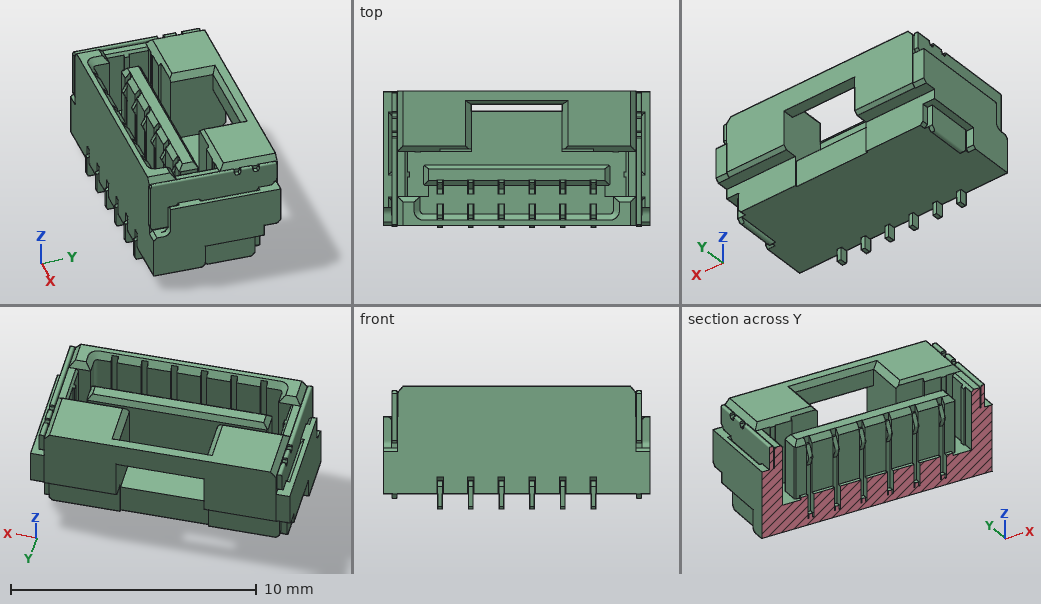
import cadquery as cq
import math


housing_length = 10.85
shroud_length = 9.7
shroud_depth = 5.48
shroud_height = 4.38
ear_depth = 5.45
ear_height = 3.15
foot_depth = 4.74
foot_height = 1.49
heel_chamfer = 0.16
rim_bevel = 0.23
rim_bevel_height = 0.26
opening_bevel = 0.25
recess_floor = shroud_height - rim_bevel_height

notch_depth = 0.73
notch_radius = 0.29
notch_floor = 1.87
notch_slope = 0.14

cavity_length = 8.88
cavity_floor = 1.3
cavity_front = 1.18
cavity_back = 3.02
front_pocket_length = 7.85
front_step_height = 0.11
front_pocket_floor = cavity_floor + front_step_height
front_wall = 0.47
front_pocket_radius = 0.14
front_step_length = 7.16
side_bevel = 0.11
block_relief_length = 6.23
block_relief = 0.1
block_ledge = 2.17

latch_length = 3.69
latch_back = 4.93
latch_back_bevel = 0.16
latch_bar_bottom = 3.36
latch_floor_back = 4.65

side_rib_width = 0.22
side_rib_y = 2.07
side_rib_height = 0.08
back_rib_width = 0.24
back_rib_x = 4.03
back_rib_height = 0.02

tongue_length = 7.57
tongue_front = 1.63
tongue_back = 2.46
tongue_top = 3.96
tongue_bevel = 0.21
tongue_back_bevel = 0.16
tongue_bevel_height = 0.24
tongue_corner = 0.05

contact_count = 6
contact_pitch = 1.25
contact_width = 0.2
contact_slot_width = 0.26
contact_front = -0.08
contact_thickness = 0.39
contact_bottom = -0.62
contact_toe = 0.05
contact_toe_height = 0.1
contact_shoulder_depth = 0.51
contact_shoulder_height = 0.23
contact_bar_bottom = 0.22
contact_bar_top = 0.52
contact_window_height = 0.69
contact_window_inner_height = 0.55
groove_front = 0.28
groove_back = 0.88
groove_bottom = 0.33
tongue_slot_front = 1.29
tongue_slot_back = 1.84
beam_face = 1.67
beam_tip_top = 3.65
beam_tip_front = 1.75
beam_bulge_front = 1.48
beam_bulge_height = 3.15
beam_neck_height = 2.71

blade_thickness = 0.21
blade_gap = 0.02
blade_inner = shroud_length / 2 + blade_gap
blade_outer = blade_inner + blade_thickness
blade_front = -0.03
blade_back = 5.38
blade_top = 4.21
blade_bottom = 3.18
blade_arm_bottom = 2.06
blade_corner = 0.22
blade_edge_radius = 0.07
blade_tip_bevel = 0.07
blade_tip_height = 0.12
blade_notch_places = (3.71, 4.5)
blade_notch_width = 0.28
blade_notch_base = 0.16
blade_notch_floor = 3.99
blade_notch_shoulder = 4.11

tab_front = 2.26
tab_back = 4.46
tab_bottom = -0.2
tab_chamfer = 0.18
window_front = 2.21
window_height = 1.01
window_bevel = 0.13
window_clearance = 0.03
rear_pocket_depth = 0.26
rear_pocket_bevel = 0.14

ear_slot_back = 1.15

lead_in = 0.14
lead_in_front = 2.06
lead_in_back = 4.61
lead_in_spans = ((notch_depth - lead_in, ear_slot_back), (lead_in_front, lead_in_back))


def box(x0, x1, y0, y1, z0, z1):
    return cq.Workplane("XY").box(x1 - x0, y1 - y0, z1 - z0, centered=False).translate((x0, y0, z0))


def centred_box(length, y0, y1, z0, z1):
    return box(-length / 2, length / 2, y0, y1, z0, z1)


def side_slab(outline, x0, x1):
    """Extrude a (Y, Z) outline from x0 to x1."""
    return cq.Workplane("YZ").polyline(outline).close().extrude(x1 - x0).translate((x0, 0, 0))


def length_slab(outline, y0, y1):
    """Extrude an (X, Z) outline from y0 to y1."""
    return cq.Workplane("XZ").polyline(outline).close().extrude(y0 - y1).translate((0, y0, 0))


def tapered_block(half_x0, half_x1, y0, y1, z0, z1, front_slope, back_slope):
    """Block symmetric about X = 0 whose sides lean as it rises; slopes are outward growth."""
    return (
        cq.Workplane("XY").workplane(offset=z0)
        .polyline([(-half_x0, y0), (half_x0, y0), (half_x0, y1), (-half_x0, y1)]).close()
        .workplane(offset=z1 - z0)
        .polyline([(-half_x1, y0 - front_slope), (half_x1, y0 - front_slope),
                   (half_x1, y1 + back_slope), (-half_x1, y1 + back_slope)]).close()
        .loft(ruled=True)
    )


def both_sides(shape):
    """The shape together with its mirror image about X = 0."""
    return shape.union(shape.mirror("YZ"))


def housing_outline(depth, top):
    return [
        (0, 0), (foot_depth, 0), (foot_depth, foot_height), (depth - heel_chamfer, foot_height),
        (depth, foot_height + heel_chamfer), (depth, top), (0, top),
    ]


def make_shell():
    """Solid shroud with bevelled long edges, joined to the lower ears at both ends."""
    half = shroud_length / 2
    section = [
        (-half, 0), (half, 0), (half, recess_floor), (half - rim_bevel, shroud_height),
        (rim_bevel - half, shroud_height), (-half, recess_floor),
    ]
    shroud = side_slab(housing_outline(shroud_depth, shroud_height), -half, half)
    shroud = shroud.intersect(length_slab(section, 0, shroud_depth))
    ears = side_slab(housing_outline(ear_depth, ear_height), -housing_length / 2, housing_length / 2)
    ears = ears.cut(both_sides(make_ear_notch()))
    return shroud.union(ears)


def make_ear_notch():
    """Notch in the front top corner of the +X ear, with a rounded back and a sloping front."""
    front_floor = notch_floor - notch_slope
    arc_mid = notch_radius * math.sqrt(0.5)
    arc_y = notch_depth - notch_radius
    arc_z = notch_floor + notch_radius
    return (
        cq.Workplane("YZ")
        .moveTo(0, front_floor).lineTo(notch_slope, notch_floor).lineTo(arc_y, notch_floor)
        .threePointArc((arc_y + arc_mid, arc_z - arc_mid), (notch_depth, arc_z))
        .lineTo(notch_depth, ear_height).lineTo(0, ear_height).close()
        .extrude((housing_length - shroud_length) / 2)
        .translate((shroud_length / 2, 0, 0))
    )


def make_ear_slot():
    """Slot in the +X ear that runs back from the front notch."""
    return box(shroud_length / 2, blade_outer + blade_gap, notch_depth - notch_radius, ear_slot_back,
               notch_floor, ear_height)


def make_rim_recess():
    """Lowered stretch of the side walls, with sloping ends."""
    half = shroud_length / 2
    return side_slab(
        [(cavity_front, recess_floor), (cavity_back, recess_floor),
         (cavity_back + rim_bevel, shroud_height), (cavity_front - rim_bevel, shroud_height)],
        -half, half,
    )


def make_cavity():
    """Main cavity with bevelled side walls and a shallow relief in the latch blocks."""
    main = centred_box(cavity_length, cavity_front, cavity_back, cavity_floor, recess_floor)
    bevel = tapered_block(cavity_length / 2, cavity_length / 2 + side_bevel, cavity_front, cavity_back,
                          recess_floor - side_bevel, recess_floor, 0, 0)
    relief = centred_box(block_relief_length, cavity_back, cavity_back + block_relief,
                         block_ledge, shroud_height)
    return main.union(bevel).union(relief)


def make_front_pocket():
    """Rounded pocket along the front wall, with a sloping rim."""
    pocket = (
        centred_box(front_pocket_length, front_wall, cavity_front, front_pocket_floor, shroud_height)
        .edges("|Z and <Y").fillet(front_pocket_radius)
    )
    rim_angle = math.degrees(math.atan2(opening_bevel, rim_bevel_height))
    rim = (
        pocket.faces(">Z").wires().toPending()
        .extrude(rim_bevel_height, taper=-rim_angle, combine=False)
        .translate((0, 0, -rim_bevel_height))
    )
    return pocket.union(rim)


def make_front_step():
    """Raised floor between the front pocket and the tongue."""
    return centred_box(front_step_length, cavity_front, tongue_front, cavity_floor, front_pocket_floor)


def make_latch_opening():
    """Opening between the latch blocks, passing under the bar along the back."""
    opening = centred_box(latch_length, cavity_back, latch_back, cavity_floor, shroud_height)
    half = latch_length / 2
    bevel = tapered_block(half, half + opening_bevel, cavity_back, latch_back, recess_floor, shroud_height,
                          0, latch_back_bevel)
    back_window = centred_box(latch_length, latch_floor_back, shroud_depth, 0, latch_bar_bottom)
    under_bar = centred_box(latch_length, latch_floor_back, latch_back, 0, shroud_height)
    return opening.union(bevel).union(back_window).union(under_bar)


def make_side_rib():
    """Rib on a side wall whose top follows the bevel of that wall."""
    wall = cavity_length / 2
    y0 = side_rib_y - side_rib_width / 2
    outline = [
        (wall + side_bevel, cavity_floor), (wall - side_rib_height, cavity_floor),
        (wall - side_rib_height, recess_floor - side_bevel - side_rib_height),
        (wall + side_bevel, recess_floor),
    ]
    return length_slab(outline, y0, y0 + side_rib_width)


def make_back_rib():
    """Rib on the front of a latch block, ending under the sloping rim."""
    outline = [
        (cavity_back + rim_bevel, cavity_floor), (cavity_back - back_rib_height, cavity_floor),
        (cavity_back - back_rib_height, recess_floor - back_rib_height), (cavity_back, recess_floor),
        (cavity_back + rim_bevel, recess_floor),
    ]
    return side_slab(outline, back_rib_x - back_rib_width / 2, back_rib_x + back_rib_width / 2)


def make_tongue():
    """Tongue standing in the cavity, bevelled around its tip."""
    body = centred_box(tongue_length, tongue_front, tongue_back, cavity_floor,
                       tongue_top - tongue_bevel_height)
    half = tongue_length / 2
    tip = tapered_block(half, half - tongue_bevel, tongue_front, tongue_back,
                        tongue_top - tongue_bevel_height, tongue_top, -tongue_bevel, -tongue_back_bevel)
    envelope = centred_box(tongue_length, tongue_front, tongue_back, cavity_floor, tongue_top)
    return body.union(tip).intersect(envelope.edges("|Z").chamfer(tongue_corner))


def make_contact_slots():
    """Leg window, front groove and tongue slot for one contact at X = 0."""
    half = contact_slot_width / 2
    window = side_slab([(0, 0), (groove_front, 0), (groove_front, contact_window_inner_height),
                        (0, contact_window_height)], -half, half)
    groove = centred_box(contact_slot_width, groove_front, groove_back, groove_bottom, shroud_height)
    slot = centred_box(contact_slot_width, tongue_slot_front, tongue_slot_back, groove_bottom, tongue_top)
    return window.union(groove).union(slot)


def make_contact():
    """Leg, bar under the floor and spring beam of one contact at X = 0."""
    leg_back = contact_front + contact_thickness
    leg_and_bar = [
        (leg_back, contact_bottom), (contact_front + contact_toe, contact_bottom),
        (contact_front, contact_bottom + contact_toe_height),
        (contact_front, contact_bar_top - contact_shoulder_height),
        (contact_front + contact_shoulder_depth, contact_bar_top),
        (tongue_slot_back, contact_bar_top), (tongue_slot_back, contact_bar_bottom),
        (leg_back, contact_bar_bottom),
    ]
    beam = [
        (tongue_slot_back, contact_bar_bottom), (tongue_slot_back, beam_tip_top),
        (beam_tip_front, beam_tip_top), (beam_bulge_front, beam_bulge_height),
        (beam_face, beam_neck_height), (beam_face, contact_bar_bottom),
    ]
    half = contact_width / 2
    return side_slab(leg_and_bar, -half, half).union(side_slab(beam, -half, half))


def make_blade():
    """Retention blade on the +X side, with its solder tab."""
    arm = [
        (blade_front, blade_arm_bottom + blade_tip_height),
        (blade_front + blade_tip_bevel, blade_arm_bottom),
        (ear_slot_back, blade_arm_bottom), (ear_slot_back, blade_bottom),
        (blade_back - blade_corner, blade_bottom),
        (blade_back, blade_bottom + blade_corner), (blade_back, blade_top),
        (blade_front + blade_tip_bevel, blade_top), (blade_front, blade_top - blade_tip_height),
    ]
    blade = side_slab(arm, blade_inner, blade_outer)
    for place in blade_notch_places:
        half_top = blade_notch_width / 2
        half_base = blade_notch_base / 2
        notch = [
            (place - half_top, blade_top), (place - half_top, blade_notch_shoulder),
            (place - half_base, blade_notch_floor), (place + half_base, blade_notch_floor),
            (place + half_top, blade_notch_shoulder), (place + half_top, blade_top),
        ]
        blade = blade.cut(side_slab(notch, blade_inner, blade_outer))
    foot = box(blade_inner, blade_outer, ear_slot_back, lead_in_back, notch_floor, blade_bottom)
    tab = [
        (tab_front, 0), (tab_front + tab_chamfer, tab_bottom), (tab_back - tab_chamfer, tab_bottom),
        (tab_back, 0), (tab_back, window_height), (tab_front, window_height),
    ]
    blade = blade.union(foot).union(side_slab(tab, blade_inner, blade_outer))
    envelope = box(blade_inner, blade_outer, blade_front, blade_back, tab_bottom, blade_top)
    return blade.intersect(envelope.edges("|Y").fillet(blade_edge_radius))


def make_tab_window():
    """Opening in the +X ear that leaves the solder tab in view."""
    outline = [
        (window_front - window_bevel, 0), (window_front, window_bevel), (window_front, window_height),
        (foot_depth, window_height), (foot_depth, 0),
    ]
    window = side_slab(outline, blade_outer - window_clearance, housing_length / 2)
    pocket_wall = blade_outer - rear_pocket_depth
    pocket_outline = [
        (blade_outer, 0), (pocket_wall - rear_pocket_bevel, 0), (pocket_wall, rear_pocket_bevel),
        (pocket_wall, window_height), (blade_outer, window_height),
    ]
    pocket = length_slab(pocket_outline, tab_back, foot_depth)
    return window.union(pocket)


def make_lead_in(y0, y1):
    """Pocket in the top of the +X ear, tapering to the blade at its foot and at its ends."""
    reach = blade_outer + lead_in
    slope = tapered_block(blade_outer, reach, y0 + lead_in, y1 - lead_in,
                          ear_height - lead_in, ear_height, lead_in, lead_in)
    return slope.intersect(box(blade_outer, reach, y0, y1, 0, ear_height))


def contact_places():
    return [(i - (contact_count - 1) / 2) * contact_pitch for i in range(contact_count)]


housing = make_shell().cut(make_rim_recess()).cut(make_cavity()).cut(make_front_pocket())
housing = housing.cut(make_latch_opening())
housing = housing.union(make_front_step()).union(make_tongue())
housing = housing.union(both_sides(make_side_rib())).union(both_sides(make_back_rib()))
housing = housing.cut(both_sides(make_tab_window()))
housing = housing.cut(both_sides(make_ear_slot()))
for start, end in lead_in_spans:
    housing = housing.cut(both_sides(make_lead_in(start, end)))
for x in contact_places():
    housing = housing.cut(make_contact_slots().translate((x, 0, 0)))

result = housing
for x in contact_places():
    result = result.union(make_contact().translate((x, 0, 0)))
result = result.union(both_sides(make_blade()))